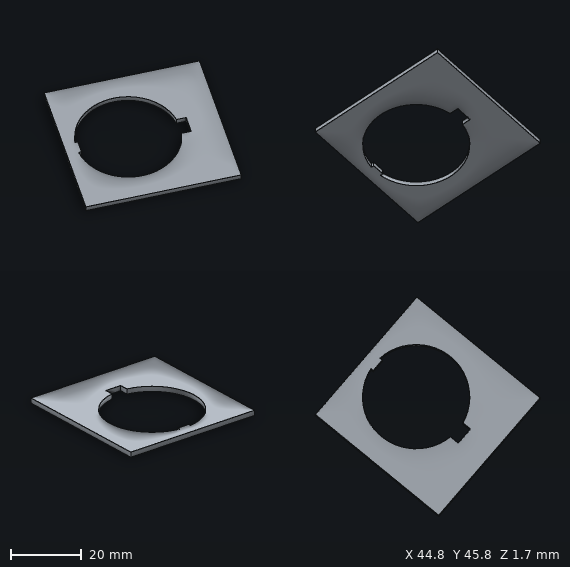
import cadquery as cq

plate_width = 44.8
plate_length = 45.75
plate_thickness = 1.7

opening_diameter = 30.35
opening_offset_y = -4.3

notch_width = 5.3
notch_reach = 17.8

tab_width = 4.03
tab_reach = 14.2


def make_plate():
    return cq.Workplane("XY").box(plate_width, plate_length, plate_thickness)


def make_opening():
    """Cutting body: a disc with the notch added and the tab left out."""
    opening_plane = cq.Workplane("XY").center(0, opening_offset_y)
    disc = opening_plane.circle(opening_diameter / 2).extrude(plate_thickness / 2, both=True)
    notch = (
        opening_plane.center(0, notch_reach / 2)
        .rect(notch_width, notch_reach)
        .extrude(plate_thickness / 2, both=True)
    )
    tab_depth = opening_diameter / 2 - tab_reach
    tab = (
        opening_plane.center(0, -tab_reach - tab_depth / 2)
        .rect(tab_width, tab_depth)
        .extrude(plate_thickness / 2, both=True)
    )
    return disc.union(notch).cut(tab)


result = make_plate().cut(make_opening())